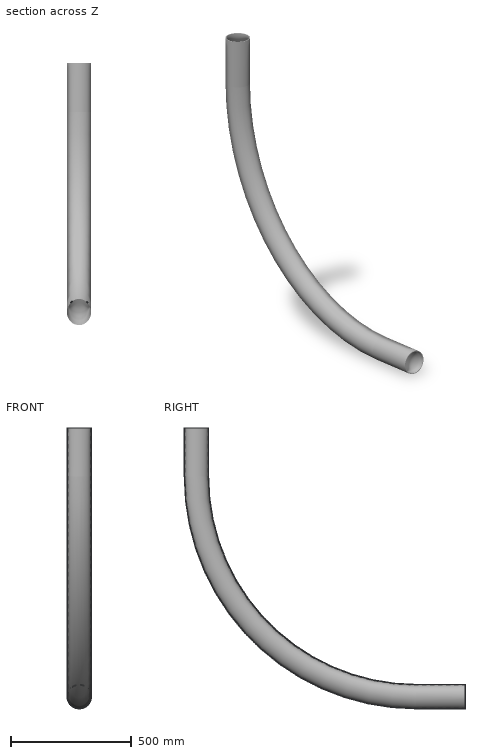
import cadquery as cq

outer_diameter = 101.6
inner_diameter = 95.5
bend_radius = 914.4
leg_length = 203.2
bend_angle = 90

def pipe_section(workplane):
    """Ring-shaped pipe cross-section centred on the workplane origin."""
    return workplane.circle(outer_diameter / 2).circle(inner_diameter / 2)

def vertical_leg():
    """Straight leg rising along +Z from the start of the bend at the origin."""
    return pipe_section(cq.Workplane("XY")).extrude(leg_length)

def bend():
    """Quarter turn from the origin, curving down and toward +Y."""
    axis_start = (0, bend_radius)
    axis_end = (1, bend_radius)
    return pipe_section(cq.Workplane("XY")).revolve(bend_angle, axis_start, axis_end)

def horizontal_leg():
    """Straight leg running along +Y from the lower end of the bend."""
    bend_end = (0, bend_radius, -bend_radius)
    return pipe_section(cq.Workplane("XZ", origin=bend_end)).extrude(-leg_length)

result = vertical_leg().union(bend()).union(horizontal_leg())